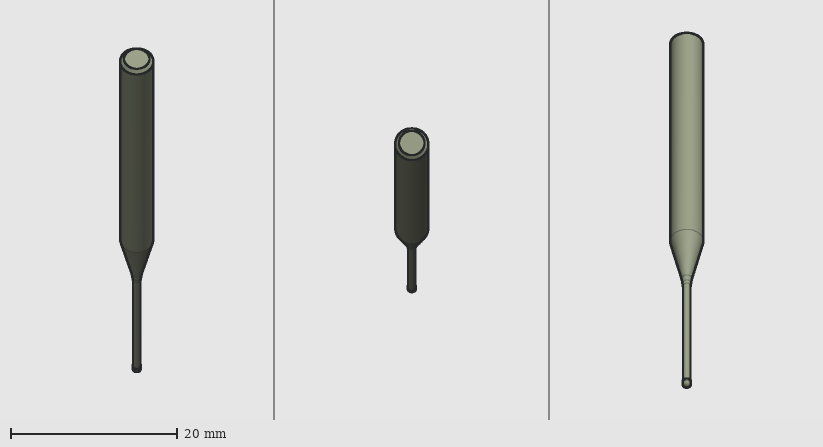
import cadquery as cq

total_length = 60.0
shank_diameter = 4.0
shank_chamfer = 0.5

taper_top_z = 25.25
collar_top_z = 18.8
collar_top_diameter = 1.25
collar_bottom_diameter = 1.1
collar_bottom_z = 18.0
neck_top_z = 17.5

neck_diameter = 0.95
cutter_diameter = 1.0
cutter_length = 0.9

shank_radius = shank_diameter / 2
collar_top_radius = collar_top_diameter / 2
collar_bottom_radius = collar_bottom_diameter / 2
neck_radius = neck_diameter / 2
ball_radius = cutter_diameter / 2


def make_holder():
    """Chamfered shank, taper, conical collar and neck, turned as one body."""
    profile = (
        cq.Workplane("XZ")
        .moveTo(0, cutter_length)
        .lineTo(neck_radius, cutter_length)
        .lineTo(neck_radius, neck_top_z)
        .lineTo(collar_bottom_radius, collar_bottom_z)
        .lineTo(collar_top_radius, collar_top_z)
        .lineTo(shank_radius, taper_top_z)
        .lineTo(shank_radius, total_length - shank_chamfer)
        .lineTo(shank_radius - shank_chamfer, total_length)
        .lineTo(0, total_length)
        .close()
    )
    return profile.revolve(360, (0, 0, 0), (0, 1, 0))


def make_cutter():
    """Short cylinder with a hemispherical end, butted against the neck."""
    profile = (
        cq.Workplane("XZ")
        .moveTo(0, 0)
        .radiusArc((ball_radius, ball_radius), -ball_radius)
        .lineTo(ball_radius, cutter_length)
        .lineTo(0, cutter_length)
        .close()
    )
    return profile.revolve(360, (0, 0, 0), (0, 1, 0))


holder = make_holder()
cutter = make_cutter()

result = cq.Compound.makeCompound([holder.val(), cutter.val()])